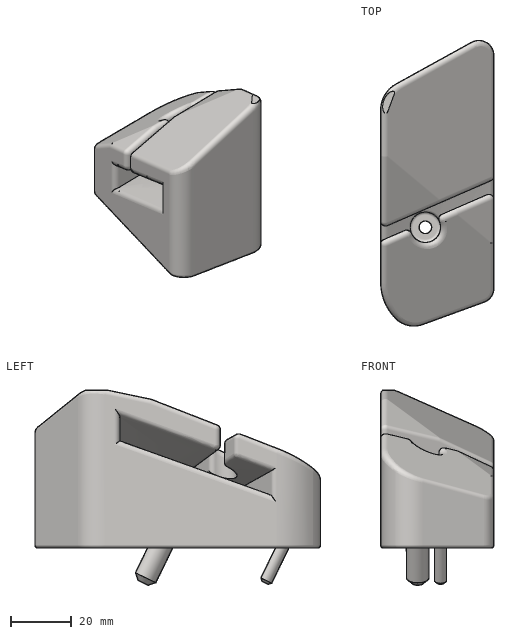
import cadquery as cq
import math

width = 37.3
length = 94.0
cap_height = 52.0
edge_radius = 1.7
base_radius = 1.0

back_angle = 28.9
front_angle = 20.0
side_corner_radius = 5.0
back_left_radius = 10.0
nose_side_radius = 16.9
nose_front_radius = 8.5
nose_start_y = 14.5

crease_point = (19.0, 41.9, 36.7)
back_slopes = (-0.56, 0.21)
front_slopes = (-0.41, 0.39)

gap_angle = 23.5
gap_front_y = 28.0
gap_width_y = 4.0

slot_front_y = 15.7
slot_back_y = 65.2
slot_height = 8.2
slot_left_floor = (18.1, 36.3)
slot_right_floor = (9.0, 19.6)

hole_x = 14.8
hole_y = 32.5
screw_diameter = 4.0
bore_diameter = 10.0
bore_floor_z = 10.0
bore_floor_radius = 0.9
bore_rim_radius = 0.7

pin_tilt = 26.0
pin_length = 12.7
pin_root = 5.6
pins = [
    (12.2, 52.8, 7.5, 1.9),
    (19.7, 12.7, 4.0, 0.8),
]

overrun = 9.4
tall = 75.2
tolerance = 0.01


def unit(angle):
    """Unit vector in plan at an angle in degrees from +X."""
    return math.cos(math.radians(angle)), math.sin(math.radians(angle))


def on_circle(center, radius, angle):
    ux, uy = unit(angle)
    return center[0] + radius * ux, center[1] + radius * uy


def tan_deg(angle):
    return math.tan(math.radians(angle))


def block_outline():
    """Closed plan outline of the block, counter-clockwise from the -X side."""
    side_center = (nose_side_radius, nose_start_y)
    radius_step = nose_side_radius - nose_front_radius
    sweep = math.degrees(math.asin((nose_start_y - nose_front_radius) / radius_step))
    front_center = on_circle(side_center, radius_step, 180 + sweep)
    nose_end_angle = 270 + front_angle

    front_start = on_circle(front_center, nose_front_radius, nose_end_angle)
    corner_y = front_start[1] + (width - front_start[0]) * tan_deg(front_angle)
    corner_setback = side_corner_radius * tan_deg((90 - front_angle) / 2)
    front_corner = (width - side_corner_radius, corner_y + corner_setback)

    back_corner = (width - side_corner_radius, length - side_corner_radius)
    back_end_angle = 90 + back_angle
    back_start = on_circle(back_corner, side_corner_radius, back_end_angle)
    left_corner_y = back_start[1] - back_start[0] * tan_deg(back_angle)
    left_setback = back_left_radius * tan_deg((90 - back_angle) / 2)
    left_center = (back_left_radius, left_corner_y - left_setback)

    arcs = [
        (side_center, nose_side_radius, 180, 180 + sweep),
        (front_center, nose_front_radius, 180 + sweep, nose_end_angle),
        (front_corner, side_corner_radius, nose_end_angle, 360),
        (back_corner, side_corner_radius, 0, back_end_angle),
        (left_center, back_left_radius, back_end_angle, 180),
    ]
    outline = cq.Workplane("XY").moveTo(0, nose_start_y)
    for index, (center, radius, start, end) in enumerate(arcs):
        follows_line = index > 1
        if follows_line:
            outline = outline.lineTo(*on_circle(center, radius, start))
        middle = on_circle(center, radius, (start + end) / 2)
        outline = outline.threePointArc(middle, on_circle(center, radius, end))
    return outline.close()


def above_plane(slopes):
    """Large block that fills the space above a sloping top plane."""
    reach = 2 * length
    normal = (-slopes[0], -slopes[1], 1)
    plane = cq.Plane(origin=crease_point, xDir=(1, 0, slopes[0]), normal=normal)
    return cq.Workplane(plane).rect(2 * reach, 2 * reach).extrude(reach)


def gap_offset(x, y):
    """Where a line along the gap direction through a plan point meets x = 0."""
    return y - x * tan_deg(gap_angle)


def slanted_prism(front_y, back_y):
    """Tall prism along the gap direction between two y values given at x = 0."""
    corners = []
    left, right = -overrun, width + overrun
    for x, start_y in [(left, front_y), (right, front_y), (right, back_y), (left, back_y)]:
        corners.append((x, start_y + x * tan_deg(gap_angle)))
    return cq.Workplane("XY").polyline(corners).close().extrude(tall)


def slot_point(x, along, level):
    """Point of the slot: along is 0 at its front end, 1 at its back; level is 0 floor, 1 ceiling."""
    across = x / width
    end_y = slot_front_y + along * (slot_back_y - slot_front_y)
    left = slot_left_floor[0] + along * (slot_left_floor[1] - slot_left_floor[0])
    right = slot_right_floor[0] + along * (slot_right_floor[1] - slot_right_floor[0])
    floor = left + across * (right - left)
    return cq.Vector(x, end_y + x * tan_deg(gap_angle), floor + level * slot_height)


def twisted_layer(bottom_level, top_level):
    """Layer that twists with the slot and runs past both of its ends."""
    before, beyond = -0.5, 1.5
    corners = [
        (before, bottom_level),
        (beyond, bottom_level),
        (beyond, top_level),
        (before, top_level),
    ]
    sections = []
    for x in (-overrun, width + overrun):
        points = [slot_point(x, along, level) for along, level in corners]
        sections.append(cq.Wire.makePolygon(points, close=True))
    return cq.Workplane(cq.Solid.makeLoft(sections, True))


def cylinder(diameter, bottom, top):
    """Vertical cylinder on the hole axis, its seam turned into the open gap."""
    seam_angle = 120
    shape = cq.Workplane("XY").circle(diameter / 2).extrude(top - bottom)
    return shape.rotate((0, 0, 0), (0, 0, 1), seam_angle).translate((hole_x, hole_y, bottom))


def slot_level(point):
    """Level of a point within the slot, 0 at the floor and 1 at the ceiling."""
    along = (gap_offset(point.x, point.y) - slot_front_y) / (slot_back_y - slot_front_y)
    return (point.z - slot_point(point.x, along, 0).z) / slot_height


def is_on_bore(edge):
    points = [edge.positionAt(step) for step in (0, 0.5, 1)]
    distances = [math.hypot(point.x - hole_x, point.y - hole_y) for point in points]
    return all(abs(distance - bore_diameter / 2) < tolerance for distance in distances)


def is_rounded(edge):
    """True for edges of the top, the gap and the slot openings.

    Edges of the base and the outer walls stay as they are. So do the long slot corners
    and the edge where the bore leaves the slot ceiling.
    """
    box = edge.BoundingBox()
    middle = edge.positionAt(0.5)
    offset = gap_offset(middle.x, middle.y)
    in_slot_end = min(abs(offset - slot_front_y), abs(offset - slot_back_y)) < tolerance
    is_slot_corner = in_slot_end and box.xlen > width / 2
    is_bore_ceiling = is_on_bore(edge) and abs(slot_level(middle) - 0.9) < tolerance
    starts_at_base = box.zmin < 2 * base_radius
    return not (starts_at_base or is_slot_corner or is_bore_ceiling)


def is_bore_rim(edge):
    """True for edges where the lower bore meets the slot floor."""
    return is_on_bore(edge) and abs(slot_level(edge.positionAt(0.5))) < tolerance


def pin(x, y, diameter, chamfer):
    """Tilted pin with a chamfered tip, placed by where its axis crosses the base plane."""
    shape = cq.Workplane("XY").circle(diameter / 2).extrude(-pin_length - pin_root)
    shape = shape.faces("<Z").chamfer(chamfer).translate((0, 0, pin_root))
    return shape.rotate((0, 0, 0), (1, 0, 0), pin_tilt).translate((x, y, 0))


body = block_outline().extrude(tall)
body = body.faces("<Z").edges().fillet(base_radius)
body = body.cut(above_plane(back_slopes)).cut(above_plane(front_slopes))

slot_middle = 0.5
deep_below = -9.4
under_gap = twisted_layer(deep_below, slot_middle)
opening = slanted_prism(gap_front_y, gap_front_y + gap_width_y).cut(under_gap)
upper_bore = cylinder(bore_diameter, 0, tall).cut(under_gap)
slot = twisted_layer(0, 0.9).intersect(slanted_prism(slot_front_y, slot_back_y))
body = body.cut(opening).cut(slot).cut(upper_bore)

rounded_edges = [edge for edge in body.edges().vals() if is_rounded(edge)]
body = body.newObject(rounded_edges).fillet(edge_radius)

cap_reach = 2 * length
cap = cq.Workplane("XY").workplane(offset=cap_height).rect(2 * cap_reach, 2 * cap_reach).extrude(tall)
body = body.cut(cap)

lower_bore = cylinder(bore_diameter, bore_floor_z, tall).intersect(under_gap)
lower_bore = lower_bore.faces("<Z").edges().fillet(bore_floor_radius)
body = body.cut(lower_bore)
rim_edges = [edge for edge in body.edges().vals() if is_bore_rim(edge)]
body = body.newObject(rim_edges).fillet(bore_rim_radius)
body = body.cut(cylinder(screw_diameter, -overrun, tall))

for pin_sizes in pins:
    body = body.union(pin(*pin_sizes))

result = body